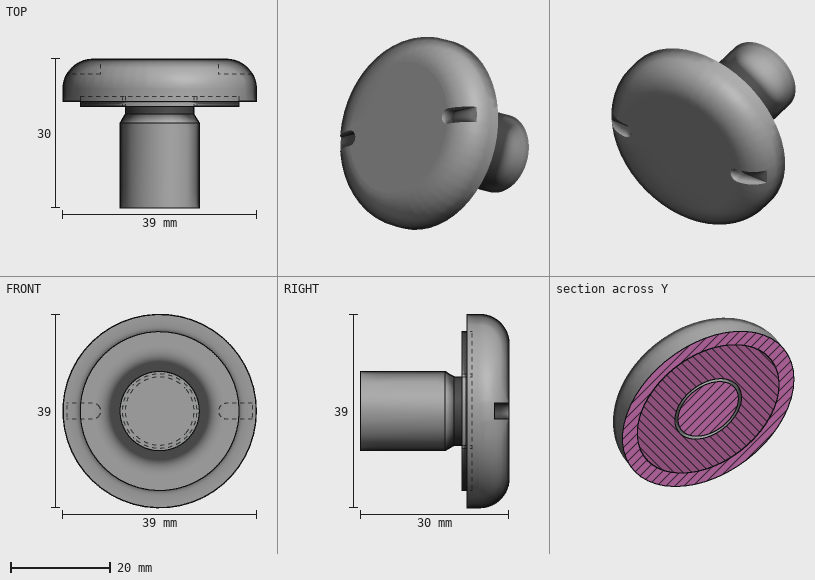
import cadquery as cq

head_diameter = 39.0
head_height = 8.5
dome_radius = 6.0

shank_diameter = 16.0
shank_end = 21.5
neck_diameter = 13.8
neck_length = 2.57
cone_length = 1.85

washer_diameter = 32.0
washer_thickness = 2.03
washer_recess = 1.0
washer_bore = 15.0

notch_width = 3.2
notch_depth = 3.0
notch_center_radius = head_diameter / 2 - dome_radius


def make_notch(side):
    """Cutter with a round inner end, open outward; side is -1 for -X, +1 for +X."""
    reach = head_diameter / 2
    floor = head_height - notch_depth
    center = side * notch_center_radius
    plane = cq.Workplane("XZ", origin=(0, floor, 0))
    round_end = plane.center(center, 0).circle(notch_width / 2).extrude(-notch_depth)
    channel = plane.center(center + side * reach / 2, 0).rect(reach, notch_width).extrude(-notch_depth)
    return round_end.union(channel)


def make_ring(outer_diameter, inner_diameter, thickness):
    """Ring about the Y axis, from the floor of the washer recess toward -Y."""
    plane = cq.Workplane("XZ", origin=(0, washer_recess, 0))
    return plane.circle(outer_diameter / 2).circle(inner_diameter / 2).extrude(thickness)


def make_screw():
    """Domed head, relieved neck and shank about the Y axis, with the recess and notches cut."""
    head_radius = head_diameter / 2
    dome_start = head_height - dome_radius
    dome_center_radius = head_radius - dome_radius
    neck_radius = neck_diameter / 2
    shank_radius = shank_diameter / 2
    profile = (
        cq.Workplane("XY")
        .moveTo(0, head_height)
        .lineTo(dome_center_radius, head_height)
        .radiusArc((head_radius, dome_start), dome_radius)
        .lineTo(head_radius, 0)
        .lineTo(neck_radius, 0)
        .lineTo(neck_radius, -neck_length)
        .lineTo(shank_radius, -neck_length - cone_length)
        .lineTo(shank_radius, -shank_end)
        .lineTo(0, -shank_end)
        .close()
    )
    screw = profile.revolve(360, (0, 0, 0), (0, 1, 0))
    screw = screw.cut(make_ring(washer_diameter, neck_diameter, washer_recess))
    for side in (-1, 1):
        screw = screw.cut(make_notch(side))
    return screw


def make_washer():
    """Flat ring seated on the floor of the recess, loose around the neck."""
    return make_ring(washer_diameter, washer_bore, washer_thickness)


screw = make_screw()
washer = make_washer()

result = cq.Compound.makeCompound([screw.val(), washer.val()])